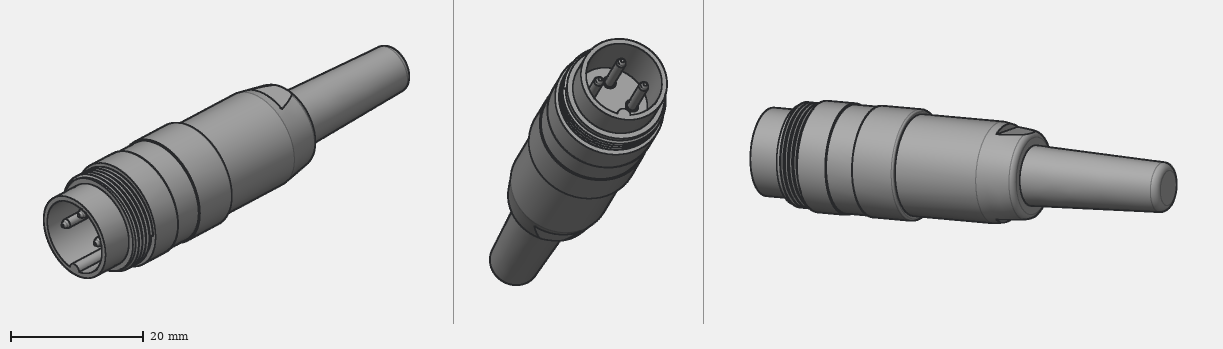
import cadquery as cq
import math


NOSE_END = 4.9
THREAD_END = 8.8
FRONT_COLLAR_END = 13.7
WAIST_END = 18.05
COLLAR_END = 25.1
BARREL_END = 38.7
CONE_END = 44.6
LENGTH = 67.4

NOSE_DIAMETER = 13.5
THREAD_ROOT_DIAMETER = 15.2
THREAD_MAJOR_DIAMETER = 16.05
COLLAR_DIAMETER = 17.0
COLLAR_EDGE_DIAMETER = 16.8
WAIST_DIAMETER = 16.6
BARREL_DIAMETER = 15.5
CONE_SMALL_DIAMETER = 13.35
CONE_FILLET = 0.95
COLLAR_FILLET = 0.35
EDGE_BREAK = (COLLAR_DIAMETER - COLLAR_EDGE_DIAMETER) / 2

FLAT_START = 40.1
FLAT_HALF_SPACING = 6.55

SLEEVE_BASE_DIAMETER = 9.25
SLEEVE_TIP_DIAMETER = 7.55
SLEEVE_FILLET = 1.15

THREAD_PITCH = 0.75
THREAD_TURNS = 4.5
THREAD_START = 5.4
THREAD_CREST_WIDTH = 0.095
THREAD_FLANK_ANGLE = 30
THREAD_ROOT_OVERLAP = 0.15

SOCKET_DIAMETER = 11.85
SOCKET_DEPTH = 8.75
KEY_DIAMETER = 2.0

PIN_DIAMETER = 1.5
PIN_BASE_DIAMETER = 2.0
PIN_TIP_DIAMETER = 0.55
PIN_SHOULDER_DIAMETER = 1.15
PIN_RECESS = 0.9
PIN_SHOULDER_START = 1.3
PIN_SHANK_START = 1.75
PIN_BASE_LENGTH = 3.4
PIN_CIRCLE_RADIUS = 3.5
PIN_ANGLES = (0, 90, 180)


def frustum(start, end, start_diameter, end_diameter):
    """Solid of revolution about Y with a straight or tapered side."""
    return (
        cq.Workplane("XY")
        .moveTo(0, start)
        .lineTo(start_diameter / 2, start)
        .lineTo(end_diameter / 2, end)
        .lineTo(0, end)
        .close()
        .revolve(360, (0, 0, 0), (0, 1, 0))
    )


def cylinder(start, end, diameter, x=0, z=0):
    """Cylinder parallel to Y."""
    return frustum(start, end, diameter, diameter).translate((x, 0, z))


def make_collars():
    """Two collars with a slightly smaller waist between them."""
    front_collar = cylinder(THREAD_END, FRONT_COLLAR_END, COLLAR_DIAMETER)
    front_collar = front_collar.faces(">Y").chamfer(EDGE_BREAK)
    waist = cylinder(FRONT_COLLAR_END, WAIST_END, WAIST_DIAMETER)
    rear_collar = cylinder(WAIST_END, COLLAR_END, COLLAR_DIAMETER)
    rear_collar = rear_collar.faces("<Y").chamfer(EDGE_BREAK).faces(">Y").edges().fillet(COLLAR_FILLET)
    return front_collar.union(waist).union(rear_collar)


def make_barrel():
    """Rear barrel ending in a rounded cone with two opposite wrench flats."""
    barrel = cylinder(COLLAR_END, BARREL_END, BARREL_DIAMETER)
    cone = frustum(BARREL_END, CONE_END, BARREL_DIAMETER, CONE_SMALL_DIAMETER)
    cone = cone.faces(">Y").edges().fillet(CONE_FILLET)
    slab_height = BARREL_DIAMETER / 2 - FLAT_HALF_SPACING
    flat_length = CONE_END - FLAT_START
    for side in (1, -1):
        slab = cq.Workplane("XY").box(BARREL_DIAMETER, flat_length, slab_height)
        slab_z = side * (FLAT_HALF_SPACING + slab_height / 2)
        cone = cone.cut(slab.translate((0, FLAT_START + flat_length / 2, slab_z)))
    return barrel.union(cone)


def make_sleeve():
    """Tapered strain relief sleeve with a rounded end."""
    sleeve = frustum(CONE_END, LENGTH, SLEEVE_BASE_DIAMETER, SLEEVE_TIP_DIAMETER)
    return sleeve.faces(">Y").edges().fillet(SLEEVE_FILLET)


def make_thread():
    """Right-handed helical ridge that starts on the -X side and runs into the front collar."""
    inner_radius = THREAD_ROOT_DIAMETER / 2 - THREAD_ROOT_OVERLAP
    outer_radius = THREAD_MAJOR_DIAMETER / 2
    half_crest = THREAD_CREST_WIDTH / 2
    half_base = half_crest + (outer_radius - inner_radius) * math.tan(math.radians(THREAD_FLANK_ANGLE))
    helix = cq.Wire.makeHelix(THREAD_PITCH, THREAD_PITCH * THREAD_TURNS, inner_radius)
    ridge = (
        cq.Workplane("XZ")
        .moveTo(inner_radius, -half_base)
        .lineTo(outer_radius, -half_crest)
        .lineTo(outer_radius, half_crest)
        .lineTo(inner_radius, half_base)
        .close()
        .sweep(cq.Workplane(helix), isFrenet=True)
    )
    ridge = ridge.rotate((0, 0, 0), (1, 0, 0), -90)
    ridge = ridge.rotate((0, 0, 0), (0, 1, 0), 180)
    return ridge.translate((0, THREAD_START, 0))


def make_socket():
    """Round socket volume with a half-round key left standing along its lowest line."""
    socket = cylinder(0, SOCKET_DEPTH, SOCKET_DIAMETER)
    key = cylinder(0, SOCKET_DEPTH, KEY_DIAMETER, z=-SOCKET_DIAMETER / 2)
    return socket.cut(key)


def make_pin(angle):
    """Contact pin with a tip of two tapers and a thicker base that is flush with the socket floor."""
    radius = PIN_DIAMETER / 2
    base_radius = PIN_BASE_DIAMETER / 2
    base_end = SOCKET_DEPTH + PIN_BASE_LENGTH
    pin = (
        cq.Workplane("XY")
        .moveTo(0, PIN_RECESS)
        .lineTo(PIN_TIP_DIAMETER / 2, PIN_RECESS)
        .lineTo(PIN_SHOULDER_DIAMETER / 2, PIN_SHOULDER_START)
        .lineTo(radius, PIN_SHANK_START)
        .lineTo(radius, SOCKET_DEPTH)
        .lineTo(base_radius, SOCKET_DEPTH)
        .lineTo(base_radius, base_end)
        .lineTo(0, base_end)
        .close()
        .revolve(360, (0, 0, 0), (0, 1, 0))
    )
    x = PIN_CIRCLE_RADIUS * math.cos(math.radians(angle))
    z = PIN_CIRCLE_RADIUS * math.sin(math.radians(angle))
    return pin.translate((x, 0, z))


def make_housing(pins):
    """Complete shell with a matching hole for every pin."""
    nose = cylinder(0, NOSE_END, NOSE_DIAMETER)
    thread_core = cylinder(NOSE_END, THREAD_END, THREAD_ROOT_DIAMETER)
    housing = nose.union(thread_core).union(make_collars()).union(make_barrel()).union(make_sleeve())
    housing = housing.union(make_thread()).cut(make_socket())
    for pin in pins:
        housing = housing.cut(pin)
    return housing


pins = [make_pin(angle) for angle in PIN_ANGLES]
housing = make_housing(pins)

result = cq.Compound.makeCompound([housing.val(), *[pin.val() for pin in pins]])